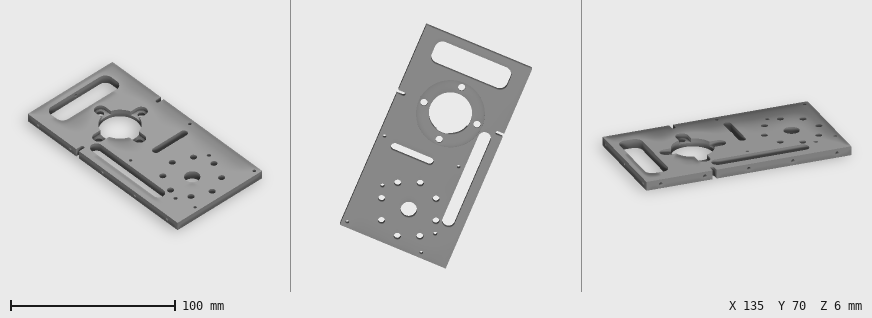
import cadquery as cq
import math

LENGTH = 135.0
WIDTH = 70.0
THICKNESS = 6.0

MOTOR_X = -22.5
MOTOR_BORE_DIAMETER = 26.5
MOTOR_SEAT_DIAMETER = 42.0
MOTOR_SEAT_DEPTH = 0.5
MOTOR_SCREW_RADIUS = 17.5
MOTOR_SCREW_DIAMETER = 4.5
LUG_WIDTH = 8.1
LUG_DEPTH = 3.0

RING_X = 42.5
RING_BORE_DIAMETER = 10.0
RING_RADIUS = 18.0
RING_HOLE_COUNT = 8
RING_HOLE_DIAMETER = 4.3
PIN_RADIUS = 22.0
PIN_ANGLE = 110.0
PIN_DIAMETER = 2.5

WINDOW_X = -55.0
WINDOW_LENGTH = 15.1
WINDOW_WIDTH = 50.1
WINDOW_CORNER_RADIUS = 5.0

SHORT_SLOT_CENTER = (9.9, 11.6)
SHORT_SLOT_LENGTH = 28.0
SHORT_SLOT_WIDTH = 5.0
LONG_SLOT_CENTER = (11.6, -25.1)
LONG_SLOT_LENGTH = 64.0
LONG_SLOT_WIDTH = 8.0

NOTCH_WIDTH = 2.5
NOTCH_DEPTH = 5.1

CORNER_HOLE_DIAMETER = 2.2
CORNER_HOLE_CENTER = (35.1, 7.0)
CORNER_HOLE_SPACING = (58.0, 49.0)

EDGE_HOLE_DIAMETER = 2.2
EDGE_HOLE_DEPTH = 10.0
DRILL_TIP_ANGLE = 118.0
FRONT_HOLE_SPACING = 29.0
FRONT_HOLE_COUNT = 5
END_HOLE_SPACING = 30.0
END_HOLE_COUNT = 3


def drill(points, diameter):
    """Vertical through-hole cutters at the given XY points."""
    return cq.Workplane("XY").pushPoints(points).circle(diameter / 2).extrude(THICKNESS)


def slot(center, length, width, angle=0.0, floor=0.0):
    """Round-ended cutter from the floor height up to the top face."""
    plane = cq.Workplane("XY").workplane(offset=floor).center(*center)
    return plane.slot2D(length, width, angle).extrude(THICKNESS - floor)


def polar_points(center_x, radius, angles):
    """XY points around (center_x, 0) at the given angles in degrees."""
    return [
        (center_x + radius * math.cos(math.radians(a)), radius * math.sin(math.radians(a)))
        for a in angles
    ]


def row(count, spacing):
    """Evenly spaced positions centred on zero."""
    return [(i - (count - 1) / 2) * spacing for i in range(count)]


def edge_hole(x, y, direction):
    """Blind hole at mid thickness, ending in a conical drill tip."""
    radius = EDGE_HOLE_DIAMETER / 2
    tip = radius / math.tan(math.radians(DRILL_TIP_ANGLE / 2))
    profile = [(0, 0), (radius, 0), (radius, EDGE_HOLE_DEPTH), (0, EDGE_HOLE_DEPTH + tip)]
    up = cq.Vector(0, 0, 1)
    plane = cq.Plane(origin=(x, y, THICKNESS / 2), xDir=up, normal=up.cross(direction))
    return cq.Workplane(plane).polyline(profile).close().revolve(360, (0, 0), (0, 1))


plate = cq.Workplane("XY").box(LENGTH, WIDTH, THICKNESS, centered=(True, True, False))

lug_span = 2 * MOTOR_SCREW_RADIUS + LUG_WIDTH
for lug_angle in (0, 90):
    plate = plate.cut(slot((MOTOR_X, 0), lug_span, LUG_WIDTH, lug_angle, THICKNESS - LUG_DEPTH))
plate = plate.cut(drill([(MOTOR_X, 0)], MOTOR_BORE_DIAMETER))
motor_seat = cq.Workplane("XY").center(MOTOR_X, 0).circle(MOTOR_SEAT_DIAMETER / 2)
plate = plate.cut(motor_seat.extrude(MOTOR_SEAT_DEPTH))
motor_screws = polar_points(MOTOR_X, MOTOR_SCREW_RADIUS, range(0, 360, 90))
plate = plate.cut(drill(motor_screws, MOTOR_SCREW_DIAMETER))

ring_angles = [i * 360 / RING_HOLE_COUNT for i in range(RING_HOLE_COUNT)]
plate = plate.cut(drill([(RING_X, 0)], RING_BORE_DIAMETER))
plate = plate.cut(drill(polar_points(RING_X, RING_RADIUS, ring_angles), RING_HOLE_DIAMETER))
pin_angles = (PIN_ANGLE, PIN_ANGLE + 180)
plate = plate.cut(drill(polar_points(RING_X, PIN_RADIUS, pin_angles), PIN_DIAMETER))

window = cq.Workplane("XY").center(WINDOW_X, 0).rect(WINDOW_LENGTH, WINDOW_WIDTH).extrude(THICKNESS)
plate = plate.cut(window.edges("|Z").fillet(WINDOW_CORNER_RADIUS))
plate = plate.cut(slot(SHORT_SLOT_CENTER, SHORT_SLOT_LENGTH, SHORT_SLOT_WIDTH, 90))
plate = plate.cut(slot(LONG_SLOT_CENTER, LONG_SLOT_LENGTH, LONG_SLOT_WIDTH))

for edge_y in (-WIDTH / 2, WIDTH / 2):
    plate = plate.cut(slot((MOTOR_X, edge_y), 2 * NOTCH_DEPTH, NOTCH_WIDTH, 90))

center_x, center_y = CORNER_HOLE_CENTER
corner_points = [
    (center_x + dx, center_y + dy)
    for dx in row(2, CORNER_HOLE_SPACING[0])
    for dy in row(2, CORNER_HOLE_SPACING[1])
]
plate = plate.cut(drill(corner_points, CORNER_HOLE_DIAMETER))

for hole_x in row(FRONT_HOLE_COUNT, FRONT_HOLE_SPACING):
    plate = plate.cut(edge_hole(hole_x, -WIDTH / 2, cq.Vector(0, 1, 0)))
for hole_y in row(END_HOLE_COUNT, END_HOLE_SPACING):
    plate = plate.cut(edge_hole(-LENGTH / 2, hole_y, cq.Vector(1, 0, 0)))

result = plate